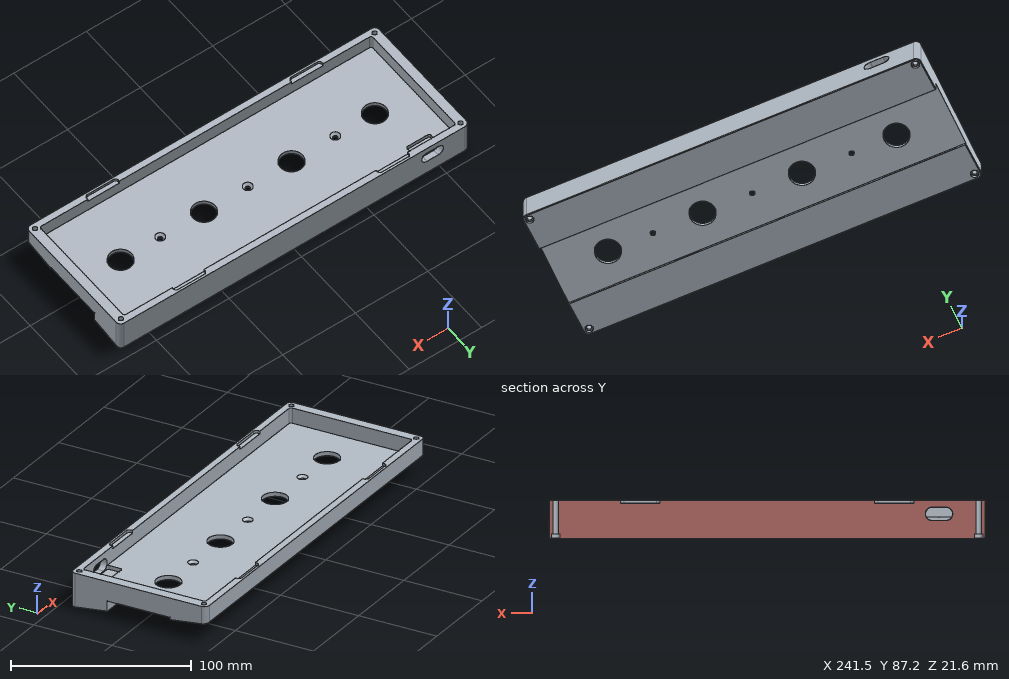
import cadquery as cq

length = 241.5
width = 87.2
rear_height = 21.7
front_height = 10.9
corner_radius = 3.1
foot_chamfer = 0.5

end_wall = 6.3
side_wall = 4.3
cavity_depth = 9.5
cavity_radius = 1.5

channel_width = 40.3
tray_thickness = 12.0

large_hole_diameter = 15.0
large_hole_offsets = (30.2, 87.7)
screw_hole_diameter = 3.0
screw_head_diameter = 6.0
screw_head_depth = 1.5
screw_spacing = 60.5

corner_hole_inset = 3.6
corner_hole_diameter = 3.0
corner_bore_diameter = 4.5
corner_bore_depth = 2.5

slot_length = 21.7
slot_offset = 70.3
slot_depth = 1.7
slot_edge_distance = 1.5
slot_radius = 2.0

port_center_x = -95.2
port_pocket_length = 16.2
port_pocket_width = 9.5
port_pocket_depth = 2.5
port_pocket_radius = 1.0
port_opening_length = 15.0
port_opening_height = 7.2
port_opening_sill = 0.6

channel_ceiling = rear_height - tray_thickness
floor_z = rear_height - cavity_depth
inner_half_width = width / 2 - side_wall


def slope_z(y):
    """Height of the sloping underside at a given y."""
    return (rear_height - front_height) * (0.5 - y / width)


def rounded_block(size_x, size_y, radius, bottom, top, x=0, y=0):
    """Upright block with rounded vertical edges, centred at (x, y)."""
    block = cq.Workplane("XY", origin=(x, y, bottom)).rect(size_x, size_y).extrude(top - bottom)
    return block.edges("|Z").fillet(radius)


def body():
    """Wedge-shaped tray, high at the rear, with a chamfered underside and two feet."""
    half = width / 2
    wedge_profile = [
        (-half, rear_height),
        (-half, slope_z(-half)),
        (half, slope_z(half)),
        (half, rear_height),
    ]
    outline = rounded_block(length, width, corner_radius, 0, rear_height)
    prism = cq.Workplane("YZ", origin=(-length / 2, 0, 0)).polyline(wedge_profile).close().extrude(length)
    wedge = prism.intersect(outline).faces("<Z").chamfer(foot_chamfer)
    channel = cq.Workplane("XY").box(length, channel_width, channel_ceiling, centered=(True, True, False))
    cavity = rounded_block(
        length - 2 * end_wall, width - 2 * side_wall, cavity_radius, floor_z, rear_height
    )
    return wedge.cut(channel).cut(cavity)


def floor_holes():
    """Four large holes and three countersunk screw holes on the centre line."""
    large_points = [(side * x, 0) for x in large_hole_offsets for side in (-1, 1)]
    screw_points = [(i * screw_spacing, 0) for i in (-1, 0, 1)]
    large = cq.Workplane("XY").pushPoints(large_points).circle(large_hole_diameter / 2).extrude(rear_height)
    screws = cq.Workplane("XY").pushPoints(screw_points).circle(screw_hole_diameter / 2).extrude(rear_height)
    for x, y in screw_points:
        cone = cq.Solid.makeCone(
            screw_hole_diameter / 2,
            screw_head_diameter / 2,
            screw_head_depth,
            cq.Vector(x, y, floor_z - screw_head_depth),
        )
        screws = screws.union(cq.Workplane(cone))
    return large.union(screws)


def corner_holes():
    """Through holes in the corners with a wider bore from the underside."""
    cutters = cq.Workplane("XY")
    for side_x in (-1, 1):
        for side_y in (-1, 1):
            x = side_x * (length / 2 - corner_hole_inset)
            y = side_y * (width / 2 - corner_hole_inset)
            hole = cq.Workplane("XY").center(x, y).circle(corner_hole_diameter / 2).extrude(rear_height)
            bore_height = slope_z(y) + corner_bore_depth
            bore = cq.Workplane("XY").center(x, y).circle(corner_bore_diameter / 2).extrude(bore_height)
            cutters = cutters.add(hole.union(bore))
    return cutters.combine()


def latch_slots():
    """Shallow slots in both long rims, open towards the cavity."""
    cutters = cq.Workplane("XY")
    outer_y = width / 2 - slot_edge_distance
    size_y = 2 * (outer_y - inner_half_width)
    for side_x in (-1, 1):
        for side_y in (-1, 1):
            slot = rounded_block(
                slot_length,
                size_y,
                slot_radius,
                rear_height - slot_depth,
                rear_height,
                side_x * slot_offset,
                side_y * inner_half_width,
            )
            cutters = cutters.add(slot)
    return cutters.combine()


def cable_port():
    """Floor pocket against the rear wall and the opening through that wall."""
    port_floor = floor_z - port_pocket_depth
    pocket = rounded_block(
        port_pocket_length, port_pocket_width, port_pocket_radius, port_floor, floor_z,
        port_center_x, inner_half_width - port_pocket_width / 2,
    )
    opening_center_z = port_floor + port_opening_sill + port_opening_height / 2
    opening = (
        cq.Workplane("XZ", origin=(port_center_x, width / 2, opening_center_z))
        .slot2D(port_opening_length, port_opening_height)
        .extrude(2 * side_wall)
    )
    return pocket.union(opening)


result = body().cut(floor_holes()).cut(corner_holes()).cut(latch_slots()).cut(cable_port())